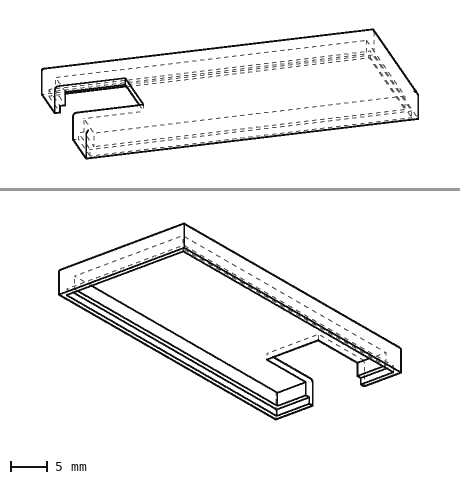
import cadquery as cq

width = 22.0
length = 47.2
height = 4.0
edge_radius = 0.5

roof_thickness = 1.0
wall_thickness = 1.5
rim_thickness = 0.75
rim_height = 1.0

notch_width = 9.0
notch_depth = 10.0


def centred_block(size_x, size_y, size_z):
    """Block centred in X and Y, standing on Z = 0."""
    return cq.Workplane("XY").box(size_x, size_y, size_z, centered=(True, True, False))


def inset_block(inset, block_height):
    """Block set in from every outer side by the same distance."""
    return centred_block(width - 2 * inset, length - 2 * inset, block_height)


body = centred_block(width, length, height).faces(">Z").edges().fillet(edge_radius)

cavity = inset_block(wall_thickness, height - roof_thickness)
rim_recess = inset_block(rim_thickness, rim_height)

notch = centred_block(notch_width, notch_depth, height).translate((0, (notch_depth - length) / 2, 0))

result = body.cut(cavity).cut(rim_recess).cut(notch)